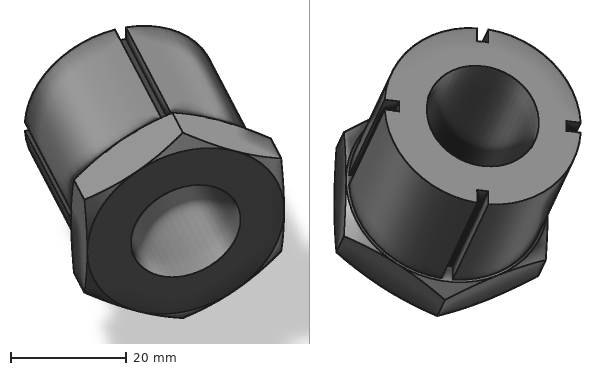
import cadquery as cq
import math

across_corners = 41.55
across_flats = across_corners * math.cos(math.radians(30))
total_length = 36.0
sleeve_length = 27.0
sleeve_diameter = 35.0
bore_diameter = 20.0
groove_width = 2.0
groove_depth = 2.6
groove_count = 4
chamfer_angle = 30.0

head_length = total_length - sleeve_length


def make_sleeve():
    """Round sleeve starting at X = 0."""
    return cq.Workplane("YZ").circle(sleeve_diameter / 2).extrude(sleeve_length)


def make_groove(angle):
    """Cutter for one lengthwise groove, stopping at the head."""
    floor_radius = sleeve_diameter / 2 - groove_depth
    cutter = cq.Workplane("XY").box(
        sleeve_length, groove_width, 2 * groove_depth, centered=(False, True, False)
    )
    return cutter.translate((0, 0, floor_radius)).rotate((0, 0, 0), (1, 0, 0), angle)


def make_head():
    """Hex head with corners up and down, its corners chamfered conically at both ends."""
    corner_radius = across_corners / 2
    flat_radius = across_flats / 2
    chamfer_length = (corner_radius - flat_radius) * math.tan(math.radians(chamfer_angle))
    hexagon = (
        cq.Workplane("YZ", origin=(sleeve_length, 0, 0))
        .transformed(rotate=(0, 0, 90))
        .polygon(6, across_corners)
        .extrude(head_length)
    )
    envelope = (
        cq.Workplane("XY")
        .moveTo(sleeve_length, 0)
        .lineTo(sleeve_length, flat_radius)
        .lineTo(sleeve_length + chamfer_length, corner_radius)
        .lineTo(total_length - chamfer_length, corner_radius)
        .lineTo(total_length, flat_radius)
        .lineTo(total_length, 0)
        .close()
        .revolve(360, (0, 0, 0), (1, 0, 0))
    )
    return hexagon.intersect(envelope)


sleeve = make_sleeve()
for index in range(groove_count):
    sleeve = sleeve.cut(make_groove(index * 360 / groove_count))

bore = cq.Workplane("YZ").circle(bore_diameter / 2).extrude(total_length)
result = sleeve.union(make_head()).cut(bore)